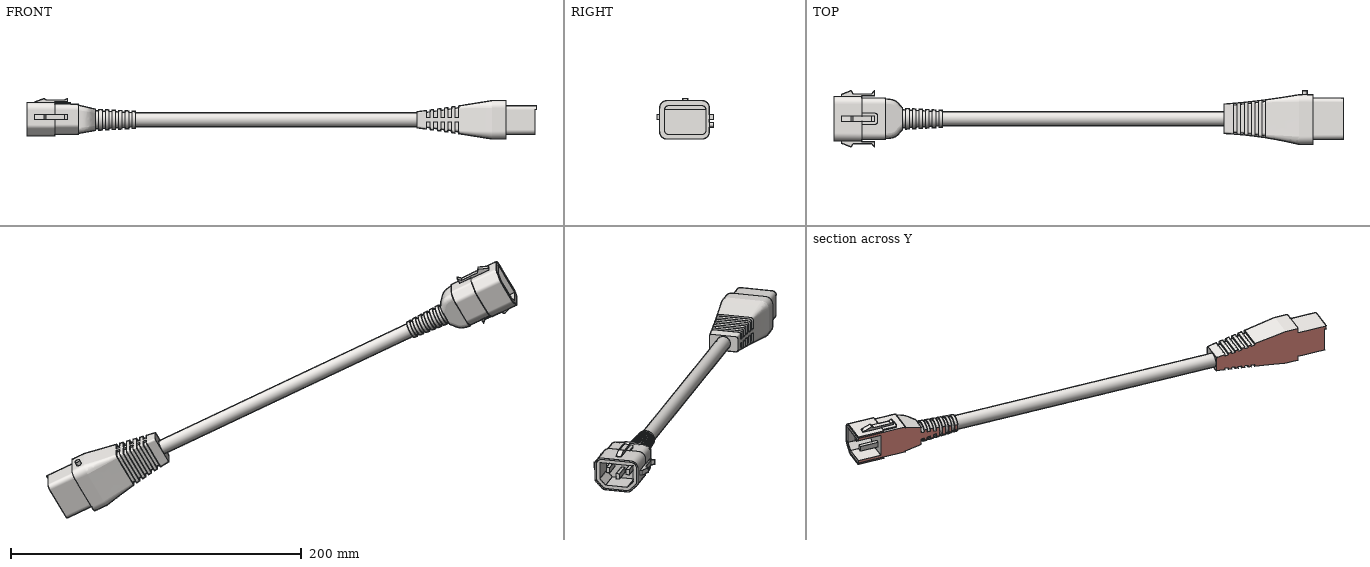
import cadquery as cq


overall_width = 39.0

plug_sleeve_end = 19.3
plug_block_end = 35.5
plug_boot_start = 47.5
plug_boot_end = 74.7
connector_start = 268.5
connector_waist = 298.5
connector_collar_start = 320.5
connector_collar_end = 330.0
connector_nose_end = 350.0
connector_lip_end = 351.0

core_half_width = 14.5
core_top = 11.0
core_bottom = -10.2
core_top_radius = 4.2
core_bottom_chamfer = 5.5
core_bottom_radius = 3.0
sleeve_wall = 1.0
cavity_wall = 2.5
cavity_chamfer = 4.2
cavity_depth = 17.0

pin_thickness = 2.5
pin_height = 4.0
pin_front = 3.5
live_pin_spacing = 14.0
live_pin_z = 2.0
earth_pin_z = -1.8

latch_width = 3.5
latch_start = 5.3
tooth_peak = 12.0
tooth_back = 13.5
hook_start = 26.0
latch_end = 28.0
arm_underside = 0.5
arm_height = 1.8
top_latch_rise = 2.8
side_latch_rise = overall_width / 2 - core_half_width - sleeve_wall
top_latch_step = 0.5
side_latch_step = 1.5
side_latch_z = 1.93

pad_half_width = 4.0
pad_end = 30.2
pad_height = 0.88

shoulder_step = 0.7
nose_knee_x = 43.5
nose_knee_half_width = 11.5
nose_tip_half_size = 7.5
nose_edge_radius = 3.5
boot_start_radius = 7.5
boot_end_radius = 6.0
boot_groove_depth = 1.0
boot_groove_width = 2.0
boot_groove_pitch = 4.5
boot_groove_count = 6

cable_radius = 5.0

connector_start_half_width = 10.2
connector_start_half_height = 5.5
connector_waist_half_width = 13.5
connector_waist_half_height = 10.0
collar_half_width = 17.2
collar_offset_y = -0.53
collar_half_height = 13.5
collar_radius = 5.3
connector_start_radius = 1.5
connector_waist_radius = 2.0
grip_sections = (
    (connector_start, connector_start_half_width, connector_start_half_height, connector_start_radius, 0),
    (connector_waist, connector_waist_half_width, connector_waist_half_height, connector_waist_radius, 0),
    (connector_collar_start, collar_half_width, collar_half_height, collar_radius, collar_offset_y),
)
socket_half_width = 14.5
socket_top = 10.0
socket_bottom = -10.2
socket_radius = 3.0
lip_height = 2.8
connector_groove_width = 2.5
connector_groove_pitch = 5.0
connector_groove_count = 5
connector_first_groove = 275.0
connector_groove_depth = 1.23
connector_web_height = 3.0
button_x = 324.2
button_z = -3.5
button_radius = 1.8
button_end = overall_width / 2


def box(x0, x1, y0, y1, z0, z1):
    """Axis-aligned box between two opposite corners."""
    return cq.Workplane("XY").box(x1 - x0, y1 - y0, z1 - z0, centered=False).translate((x0, y0, z0))


def keyed_prism(x0, x1, half_width, bottom, top, bottom_chamfer):
    """Prism along X with square top corners and chamfered bottom corners."""
    prism = box(x0, x1, -half_width, half_width, bottom, top)
    return prism.edges("|X and <Z").chamfer(bottom_chamfer)


def core_prism(x0, x1, offset=0.0):
    """Plug section with all its corners rounded, from x0 to x1, grown outwards by offset."""
    prism = keyed_prism(
        x0,
        x1,
        core_half_width + offset,
        core_bottom - offset,
        core_top + offset,
        core_bottom_chamfer + offset / 2,
    )
    prism = prism.edges("|X and >Z").fillet(core_top_radius + offset)
    below_middle = cq.selectors.BoxSelector((x0, -overall_width, -overall_width), (x1, overall_width, 0))
    return prism.edges("|X").edges(below_middle).fillet(core_bottom_radius)


def cut_grooves(solid, inner, first, pitch, count, width):
    """Cut evenly spaced grooves down to the inner solid."""
    reach = overall_width
    for index in range(count):
        start = first + index * pitch
        slab = box(start, start + width, -reach, reach, -reach, reach)
        solid = solid.cut(slab.cut(inner))
    return solid


def plug_cavity():
    return keyed_prism(
        0,
        cavity_depth,
        core_half_width - cavity_wall,
        core_bottom + cavity_wall,
        core_top - cavity_wall,
        cavity_chamfer,
    )


def contact_pin(y, z):
    return box(
        pin_front,
        cavity_depth,
        y - pin_thickness / 2,
        y + pin_thickness / 2,
        z - pin_height / 2,
        z + pin_height / 2,
    )


def plug_nose():
    """Tapering rear of the plug: plan outline crossed with side outline, long edges rounded."""
    half_width = core_half_width - shoulder_step
    top = core_top - shoulder_step
    bottom = core_bottom + shoulder_step
    half_plan = (
        cq.Workplane("XY")
        .moveTo(plug_block_end, 0)
        .lineTo(plug_block_end, half_width)
        .spline(
            [(nose_knee_x, nose_knee_half_width), (plug_boot_start, nose_tip_half_size)],
            tangents=[(1, 0), (1, -1)],
            includeCurrent=True,
        )
        .lineTo(plug_boot_start, 0)
        .close()
        .extrude(core_half_width, both=True)
    )
    plan = half_plan.union(half_plan.mirror("XZ"))
    side = (
        cq.Workplane("XZ")
        .moveTo(plug_block_end, bottom)
        .lineTo(plug_boot_start, -nose_tip_half_size)
        .lineTo(plug_boot_start, nose_tip_half_size)
        .lineTo(plug_block_end, top)
        .close()
        .extrude(core_half_width, both=True)
    )
    return plan.intersect(side).edges("not (|Y or |Z)").fillet(nose_edge_radius)


def cone(x0, radius0, x1, radius1):
    return cq.Workplane(cq.Solid.makeCone(radius0, radius1, x1 - x0, cq.Vector(x0, 0, 0), cq.Vector(1, 0, 0)))


def plug_boot():
    """Ringed strain relief between the plug nose and the cable."""
    boot = cone(plug_boot_start, boot_start_radius, plug_boot_end, boot_end_radius)
    inner = cone(
        plug_boot_start,
        boot_start_radius - boot_groove_depth,
        plug_boot_end,
        boot_end_radius - boot_groove_depth,
    )
    return cut_grooves(
        boot, inner, plug_boot_start, boot_groove_pitch, boot_groove_count, boot_groove_width
    )


def latch_pad():
    """Raised pad with a rounded end behind the sleeve, below the top latch."""
    pad = box(plug_sleeve_end, pad_end, -pad_half_width, pad_half_width, 0, core_top + pad_height)
    return pad.edges("|Z and >X").fillet(pad_half_width / 2)


def make_plug_core():
    core = core_prism(0, plug_block_end).union(plug_nose()).union(plug_boot()).union(latch_pad())
    core = core.cut(plug_cavity())
    for y, z in (
        (live_pin_spacing / 2, live_pin_z),
        (-live_pin_spacing / 2, live_pin_z),
        (0, earth_pin_z),
    ):
        core = core.union(contact_pin(y, z))
    return core


def latch(step, rise):
    """Latch arm along X on the plane Z = 0: a tooth sloping from step to rise, a bar, an upturned end."""
    return (
        cq.Workplane("XZ")
        .moveTo(latch_start, -arm_underside)
        .lineTo(latch_start, step)
        .lineTo(tooth_peak, rise)
        .lineTo(tooth_back, arm_height)
        .lineTo(hook_start, arm_height)
        .lineTo(latch_end, rise)
        .lineTo(latch_end, arm_underside)
        .lineTo(plug_sleeve_end, arm_underside)
        .lineTo(plug_sleeve_end, -arm_underside)
        .close()
        .extrude(latch_width / 2, both=True)
    )


def make_plug_sleeve():
    sleeve = core_prism(0, plug_sleeve_end, sleeve_wall)
    sleeve = sleeve.cut(core_prism(0, plug_sleeve_end))
    sleeve = sleeve.union(latch(top_latch_step, top_latch_rise).translate((0, 0, core_top + sleeve_wall)))
    for side in (-1, 1):
        arm = latch(side_latch_step, side_latch_rise).rotate((0, 0, 0), (1, 0, 0), -90 * side)
        sleeve = sleeve.union(arm.translate((0, side * (core_half_width + sleeve_wall), side_latch_z)))
    return sleeve


def make_cable():
    length = connector_start - plug_boot_end
    return cq.Workplane("YZ", origin=(plug_boot_end, 0, 0)).circle(cable_radius).extrude(length)


def connector_taper(inset=0.0):
    """Tapered grip through three rounded rectangles, shrunk by inset all round."""
    wires = []
    for x, half_width, half_height, radius, shift_y in grip_sections:
        sketch = cq.Sketch().rect(2 * (half_width - inset), 2 * (half_height - inset))
        sketch = sketch.vertices().fillet(radius)
        prism = cq.Workplane("YZ", origin=(x, shift_y, 0)).placeSketch(sketch).extrude(connector_lip_end - x)
        wires.append(prism.faces("<X").wires().val())
    return cq.Workplane(cq.Solid.makeLoft(wires))


def connector_grip():
    """Taper with grooves that stop at a web along the middle of the -Y and +Y sides."""
    taper = connector_taper()
    reach = overall_width
    half_web = connector_web_height / 2
    web = box(connector_start, connector_collar_start, -reach, reach, -half_web, half_web)
    inner = connector_taper(connector_groove_depth).union(taper.intersect(web))
    return cut_grooves(
        taper,
        inner,
        connector_first_groove,
        connector_groove_pitch,
        connector_groove_count,
        connector_groove_width,
    )


def make_connector():
    collar = box(
        connector_collar_start,
        connector_collar_end,
        collar_offset_y - collar_half_width,
        collar_offset_y + collar_half_width,
        -collar_half_height,
        collar_half_height,
    )
    collar = collar.edges("|X").fillet(collar_radius)
    socket = box(
        connector_collar_end,
        connector_lip_end,
        -socket_half_width,
        socket_half_width,
        socket_bottom,
        socket_top,
    )
    socket = socket.edges("|X").fillet(socket_radius)
    below_lip = box(
        connector_nose_end,
        connector_lip_end,
        -socket_half_width,
        socket_half_width,
        socket_bottom,
        socket_top - lip_height,
    )
    socket = socket.cut(below_lip)
    button = cq.Workplane("XZ", origin=(button_x, 0, button_z)).circle(button_radius).extrude(-button_end)
    return connector_grip().union(collar).union(socket).union(button)


plug_core = make_plug_core()
plug_sleeve = make_plug_sleeve()
cable = make_cable()
connector = make_connector()

result = cq.Compound.makeCompound([plug_core.val(), plug_sleeve.val(), cable.val(), connector.val()])